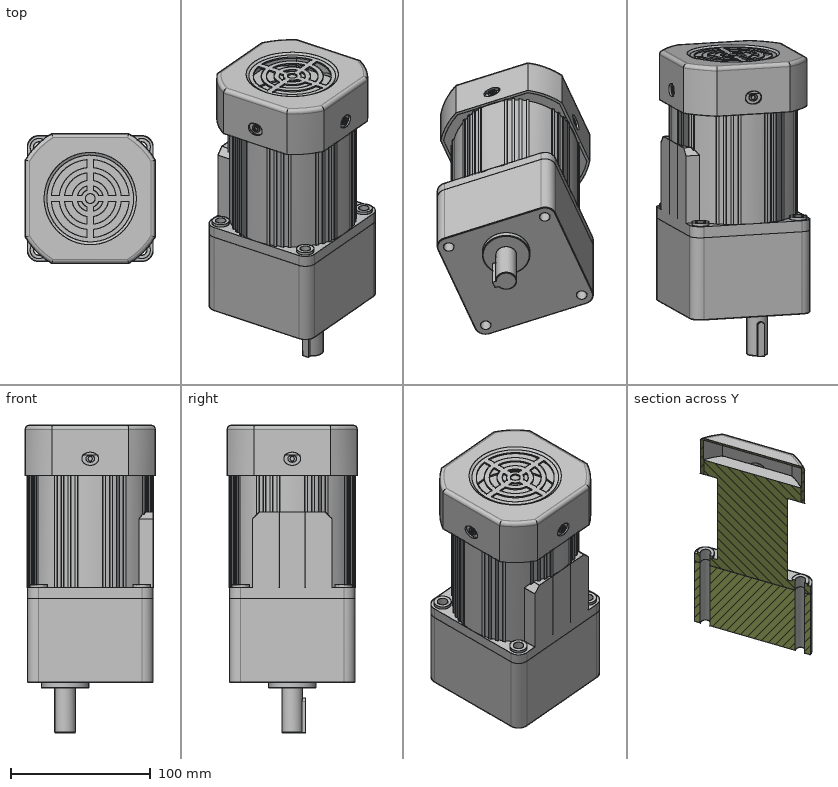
import cadquery as cq
import math


frame_size = 90.0
frame_corner = 8.0
gearhead_height = 60.0
edge_chamfer = 0.5
shaft_offset = -18.0
pilot_diameter = 34.0
pilot_height = 4.0
shaft_diameter = 15.0
shaft_length = 32.0
shaft_end = -pilot_height - shaft_length
key_width = 5.0
key_length = 25.0
key_top = 9.5

bolt_circle = 104.0
bolt_pitch = bolt_circle / math.sqrt(2)
bolt_hole = 7.4
bolt_boss_diameter = 12.4
bolt_boss_height = 2.0

plate_height = 8.0
plate_top = gearhead_height + plate_height
barrel_length = 80.0
barrel_top = plate_top + barrel_length
barrel_radius = 45.0
fin_tip_radius = 46.0
fin_width = 1.9
fins_per_octant = 4
fin_pitch = 6.6
octant = 45.0

box_inner = 30.0
box_width = 57.0
box_height = 54.0
box_chamfer = 5.0

cover_size = 93.0
cover_flat = 55.0
cover_height = 36.0
cover_top = barrel_top + cover_height
cover_edge_radius = 3.0
cover_wall = 2.0

dish_top_radius = 33.0
dish_floor_radius = 31.0
dish_depth = 1.2
grille_thickness = 1.0
grille_spoke = 4.5
grille_rings = [(22.2, 27.9), (13.1, 18.5), (6.4, 9.3)]
grille_hole_radius = 3.5
roof_thickness = dish_depth + grille_thickness

motor_end_height = 14.6
end_pocket_radius = 32.0
end_pocket_depth = 1.2

screw_below_top = 24.0
recess_half_width = 6.0
recess_half_height = 4.7
recess_depth = 1.5
head_half_width = 3.1
head_half_height = 2.5
head_height = 0.8
socket_diameter = 3.4
socket_depth = 1.0


def bolt_points(plane):
    return plane.rect(bolt_pitch, bolt_pitch, forConstruction=True).vertices()


def frame_block(bottom, height):
    """Square frame with rounded corners."""
    block = cq.Workplane("XY").workplane(offset=bottom).rect(frame_size, frame_size).extrude(height)
    return block.edges("|Z").fillet(frame_corner)


def drill_bolt_holes(body, bottom, height):
    holes = bolt_points(cq.Workplane("XY").workplane(offset=bottom)).circle(bolt_hole / 2).extrude(height)
    return body.cut(holes)


def make_gearhead():
    frame = frame_block(0, gearhead_height).faces("<Z").edges().chamfer(edge_chamfer)
    frame = drill_bolt_holes(frame, 0, gearhead_height)
    axis = cq.Workplane("XY").center(shaft_offset, 0)
    pilot = axis.circle(pilot_diameter / 2).extrude(-pilot_height).faces("<Z").edges().chamfer(edge_chamfer)
    shaft = axis.circle(shaft_diameter / 2).extrude(shaft_end).faces("<Z").edges().chamfer(edge_chamfer)
    return frame.union(pilot).union(shaft).union(make_key())


def make_key():
    """Key along the +Y side of the shaft, square at the shaft end and round at the inner end."""
    half = key_width / 2
    straight_end = shaft_end + key_length - half
    outline = (
        cq.Workplane("XZ")
        .moveTo(shaft_offset - half, shaft_end)
        .lineTo(shaft_offset + half, shaft_end)
        .lineTo(shaft_offset + half, straight_end)
        .threePointArc((shaft_offset, straight_end + half), (shaft_offset - half, straight_end))
        .close()
    )
    return outline.extrude(-key_top)


def make_barrel():
    """Finned barrel: a group of fins in each octant, smooth between the groups."""
    barrel = cq.Workplane("XY").workplane(offset=plate_top).circle(barrel_radius).extrude(barrel_length)
    first = (octant - (fins_per_octant - 1) * fin_pitch) / 2
    root = barrel_radius - fin_width
    fin = (
        cq.Workplane("XY")
        .workplane(offset=plate_top)
        .center((root + fin_tip_radius) / 2, 0)
        .rect(fin_tip_radius - root, fin_width)
        .extrude(barrel_length)
    )
    for sector in range(round(360 / octant)):
        for index in range(fins_per_octant):
            angle = sector * octant + first + index * fin_pitch
            barrel = barrel.union(fin.rotate((0, 0, 0), (0, 0, 1), angle))
    return barrel


def make_terminal_box():
    box = cq.Workplane("XY").box(
        frame_size / 2 - box_inner, box_width, box_height, centered=(False, True, False)
    )
    box = box.faces(">Z").edges("|X").chamfer(box_chamfer)
    return box.translate((box_inner, 0, plate_top))


def cover_outline(inset):
    """Full-height cover block, square and inset evenly, with its corners cut by one circle about the axis."""
    side = cover_size / 2
    corner_radius = math.hypot(side, cover_flat / 2)
    base = cq.Workplane("XY").workplane(offset=barrel_top)
    square = base.rect(2 * (side - inset), 2 * (side - inset)).extrude(cover_height)
    disc = base.circle(corner_radius - inset).extrude(cover_height)
    return square.intersect(disc)


def slab(bottom, top):
    """Wide block used to trim a shape between two heights."""
    return cq.Workplane("XY").workplane(offset=bottom).rect(2 * cover_size, 2 * cover_size).extrude(top - bottom)


def make_motor_end():
    end_top = barrel_top + motor_end_height
    motor_end = cover_outline(cover_wall).intersect(slab(barrel_top, end_top))
    pocket = cq.Workplane("XY").workplane(offset=end_top).circle(end_pocket_radius).extrude(-end_pocket_depth)
    return motor_end.cut(pocket)


def make_motor():
    plate = frame_block(gearhead_height, plate_height)
    bosses = bolt_points(cq.Workplane("XY").workplane(offset=plate_top))
    bosses = bosses.circle(bolt_boss_diameter / 2).extrude(bolt_boss_height)
    motor = plate.union(make_barrel()).union(make_terminal_box()).union(bosses)
    motor = drill_bolt_holes(motor, gearhead_height, plate_height + bolt_boss_height)
    return motor.union(make_motor_end())


def make_grille_cut():
    """The dish, the ring slots broken by a cross of spokes, and the centre hole."""
    floor = cq.Workplane("XY").workplane(offset=cover_top - dish_depth)
    dish = floor.circle(dish_floor_radius).workplane(offset=dish_depth).circle(dish_top_radius).loft()
    slots = cq.Workplane("XY")
    for inner, outer in grille_rings:
        slots = slots.add(floor.circle(outer).circle(inner).extrude(-grille_thickness))
    slots = slots.combine()
    spokes = floor.rect(cover_size, grille_spoke).extrude(-grille_thickness)
    spokes = spokes.union(floor.rect(grille_spoke, cover_size).extrude(-grille_thickness))
    hole = floor.circle(grille_hole_radius).extrude(-grille_thickness)
    return dish, slots.cut(spokes), hole


def add_screw(cover, angle):
    """Cover screw in the -Y face, turned about Z by the given angle."""
    face = cq.Workplane("XZ", origin=(0, -cover_size / 2, cover_top - screw_below_top))
    floor = face.workplane(offset=-recess_depth)
    recess = face.ellipse(recess_half_width, recess_half_height).extrude(-recess_depth)
    head = floor.ellipse(head_half_width, head_half_height).extrude(head_height)
    socket = floor.workplane(offset=head_height).polygon(6, socket_diameter).extrude(-socket_depth)
    start = (0, 0, 0)
    end = (0, 0, 1)
    cover = cover.cut(recess.rotate(start, end, angle))
    cover = cover.union(head.rotate(start, end, angle))
    return cover.cut(socket.rotate(start, end, angle))


def make_cover():
    cover = cover_outline(0).faces(">Z").edges().fillet(cover_edge_radius)
    cavity = cover_outline(cover_wall).intersect(slab(barrel_top, cover_top - roof_thickness))
    cover = cover.cut(cavity)
    for opening in make_grille_cut():
        cover = cover.cut(opening)
    for angle in (0, 90, 180, 270):
        cover = add_screw(cover, angle)
    return cover


gearhead = make_gearhead()
motor = make_motor()
cover = make_cover()

result = cq.Compound.makeCompound([body.solids().val() for body in (gearhead, motor, cover)])